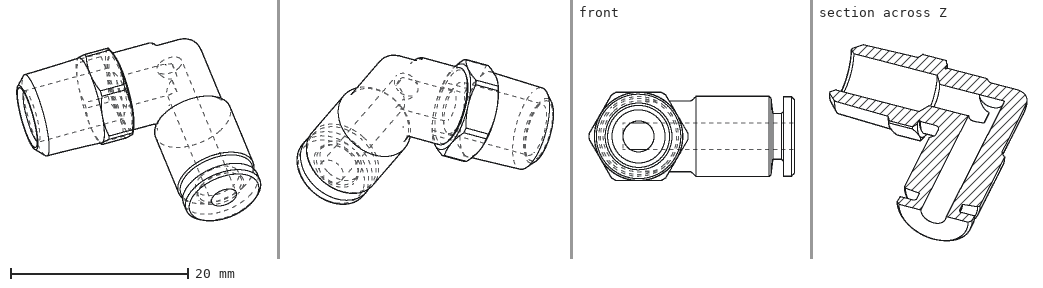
import cadquery as cq
import math


elbow_r = 4.0
reach = 2 * elbow_r
corner_direction = 135.0
bore_r = 1.5

collar_round_r = 0.5
collar_r = elbow_r + collar_round_r
collar_top_y = -1.25
collar_foot_chamfer = 0.2
blend_r = 0.5

sleeve_r = 4.55
sleeve_start_x = 6.5
sleeve_end_x = 14.95
sleeve_end_chamfer = 0.22
sleeve_face_bulge = 0.22
sleeve_cone_angle = 45.0
root_blend_r = 0.5
neck_r = 2.6

sleeve_cone_length = (sleeve_r - elbow_r) / math.tan(math.radians(sleeve_cone_angle))
sleeve_cone_start_x = sleeve_start_x - sleeve_cone_length
root_tangent = root_blend_r * math.tan(math.radians(sleeve_cone_angle / 2))
socket_blend_start_x = sleeve_cone_start_x - root_tangent

button_r = 4.5
button_start_x = 16.33
button_end_x = 17.6
button_chamfer = 0.35
button_root_length = 0.2
button_root_r = 2.8

hex_sides = 6
hex_flats = 10.0
hex_corner_r = 5.6
hex_top_y = -6.5
hex_bottom_y = -10.0
hex_chamfer_angle = 30.0

stud_end_y = -17.5
stud_end_chamfer = 1.0
stud_gauge_diameter = 9.728
stud_gauge_length = 4.0
stud_taper = 1 / 32
stud_bore_r = 3.0
stud_bore_end_y = -7.0
stud_bore_chamfer = 0.5
drill_point_angle = 118.0
stud_passage_r = 1.75


def revolve_about_x(profile):
    """Revolve an XY outline around the X axis."""
    return profile.close().revolve(360, (0, 0, 0), (1, 0, 0))


def revolve_about_y(profile):
    """Revolve an XY outline around the Y axis."""
    return profile.close().revolve(360, (0, 0, 0), (0, 1, 0))


def cylinder_x(radius, start, end):
    """Cylinder on the X axis between two X positions."""
    return cq.Workplane("YZ", origin=(start, 0, 0)).circle(radius).extrude(end - start)


def extrude_through(points):
    """Prism over an XY outline, reaching past the elbow above and below."""
    return (
        cq.Workplane("XY", origin=(0, 0, -reach)).polyline(points).close().extrude(2 * reach)
    )


def make_corner_cutter():
    """Waste outside the rounded outer corner, an ellipsoid tangent to both legs."""
    long_axis = elbow_r * math.sqrt(1.5)
    short_axis = elbow_r * math.sqrt(0.5)
    stretch = cq.Matrix([[long_axis, 0, 0, 0], [0, short_axis, 0, 0], [0, 0, elbow_r, 0]])
    sphere = cq.Workplane("XY").sphere(1, direct=(0, 1, 0))
    ball = cq.Workplane(sphere.val().transformGeometry(stretch))
    ball = ball.rotate((0, 0, 0), (0, 0, 1), corner_direction)
    wedge = extrude_through([(0, 0), (-reach, reach / 2), (-reach, reach), (-reach / 2, reach)])
    return wedge.cut(ball)


def make_column():
    """Leg along Y with its rounded collar, mitred against the X leg."""
    round_offset = collar_round_r * math.sqrt(0.5)
    round_y = collar_top_y - collar_round_r
    turned = revolve_about_y(
        cq.Workplane("XY")
        .moveTo(0, hex_top_y)
        .lineTo(collar_r - collar_foot_chamfer, hex_top_y)
        .lineTo(collar_r, hex_top_y + collar_foot_chamfer)
        .lineTo(collar_r, round_y)
        .threePointArc((elbow_r + round_offset, round_y + round_offset), (elbow_r, collar_top_y))
        .lineTo(elbow_r, reach)
        .lineTo(0, reach)
    )
    turned = turned.rotate((0, 0, 0), (0, 1, 0), -90)
    keep = extrude_through(
        [
            (-reach, reach),
            (-reach, -reach),
            (reach, -reach),
            (reach, collar_top_y),
            (-collar_top_y, collar_top_y),
        ]
    )
    return turned.intersect(keep)


def make_x_leg(length):
    """Leg along X, mitred against the column."""
    keep = extrude_through([(-reach, reach), (reach, reach), (reach, -reach)])
    return cylinder_x(elbow_r, -reach, length).intersect(keep)


def make_elbow():
    """Both legs with the blended seam between them."""
    legs = make_column().union(make_x_leg(socket_blend_start_x))
    leg_seam = cq.selectors.TypeSelector("BSPLINE")
    shoulder = cq.selectors.NearestToPointSelector((-elbow_r / 2, collar_top_y, 0))
    return legs.edges(leg_seam + shoulder).fillet(blend_r)


def make_socket():
    """Sleeve, neck and release button as one revolved outline."""
    cone = math.radians(sleeve_cone_angle)
    half = cone / 2
    blend_mid = (
        socket_blend_start_x + root_blend_r * math.sin(half),
        elbow_r + root_blend_r * (1 - math.cos(half)),
    )
    blend_end = (
        sleeve_cone_start_x + root_tangent * math.cos(cone),
        elbow_r + root_tangent * math.sin(cone),
    )
    profile = (
        cq.Workplane("XY")
        .moveTo(socket_blend_start_x, 0)
        .lineTo(socket_blend_start_x, elbow_r)
        .threePointArc(blend_mid, blend_end)
        .lineTo(sleeve_start_x, sleeve_r)
        .lineTo(sleeve_end_x - sleeve_end_chamfer, sleeve_r)
        .lineTo(sleeve_end_x, sleeve_r - sleeve_end_chamfer)
        .lineTo(sleeve_end_x + sleeve_face_bulge, neck_r)
        .lineTo(button_start_x - button_root_length, neck_r)
        .lineTo(button_start_x, button_root_r)
        .lineTo(button_start_x, button_r)
        .lineTo(button_end_x - button_chamfer, button_r)
        .lineTo(button_end_x, button_r - button_chamfer)
        .lineTo(button_end_x, 0)
    )
    return revolve_about_x(profile)


def make_hexagon():
    """Hexagonal nut with its corners turned down and chamfered on both faces."""
    height = hex_top_y - hex_bottom_y
    half_sector = 360 / hex_sides / 2
    prism = (
        cq.Workplane("XZ", origin=(0, hex_top_y, 0))
        .polygon(hex_sides, hex_flats, circumscribed=True)
        .extrude(height)
        .rotate((0, 0, 0), (0, 1, 0), half_sector)
    )
    face_r = hex_flats / 2
    drop = (hex_corner_r - face_r) * math.tan(math.radians(hex_chamfer_angle))
    turned = revolve_about_y(
        cq.Workplane("XY")
        .moveTo(0, hex_bottom_y)
        .lineTo(face_r, hex_bottom_y)
        .lineTo(hex_corner_r, hex_bottom_y + drop)
        .lineTo(hex_corner_r, hex_top_y - drop)
        .lineTo(face_r, hex_top_y)
        .lineTo(0, hex_top_y)
    )
    return prism.intersect(turned)


def stud_radius(y):
    """Radius of the tapered stud at a Y position."""
    return stud_gauge_diameter / 2 + (y - stud_end_y - stud_gauge_length) * stud_taper


def make_stud():
    """Tapered stud with a chamfered end."""
    chamfer_y = stud_end_y + stud_end_chamfer
    chamfer_r = stud_radius(chamfer_y)
    profile = (
        cq.Workplane("XY")
        .moveTo(0, stud_end_y)
        .lineTo(chamfer_r - stud_end_chamfer, stud_end_y)
        .lineTo(chamfer_r, chamfer_y)
        .lineTo(stud_radius(hex_bottom_y), hex_bottom_y)
        .lineTo(0, hex_bottom_y)
    )
    return revolve_about_y(profile)


def make_stud_bore():
    """Wide stud bore with a conical bottom, leading into the narrow passage."""
    point_height = (stud_bore_r - stud_passage_r) / math.tan(math.radians(drill_point_angle / 2))
    profile = (
        cq.Workplane("XY")
        .moveTo(0, stud_end_y)
        .lineTo(stud_bore_r + stud_bore_chamfer, stud_end_y)
        .lineTo(stud_bore_r, stud_end_y + stud_bore_chamfer)
        .lineTo(stud_bore_r, stud_bore_end_y)
        .lineTo(stud_passage_r, stud_bore_end_y + point_height)
        .lineTo(stud_passage_r, 0)
        .lineTo(0, 0)
    )
    return revolve_about_y(profile)


elbow_and_socket = make_elbow().union(make_socket())
fitting = elbow_and_socket.union(make_hexagon()).union(make_stud())
socket_bore = cylinder_x(bore_r, -stud_passage_r, button_end_x)
result = fitting.cut(make_stud_bore()).cut(socket_bore).cut(make_corner_cutter())